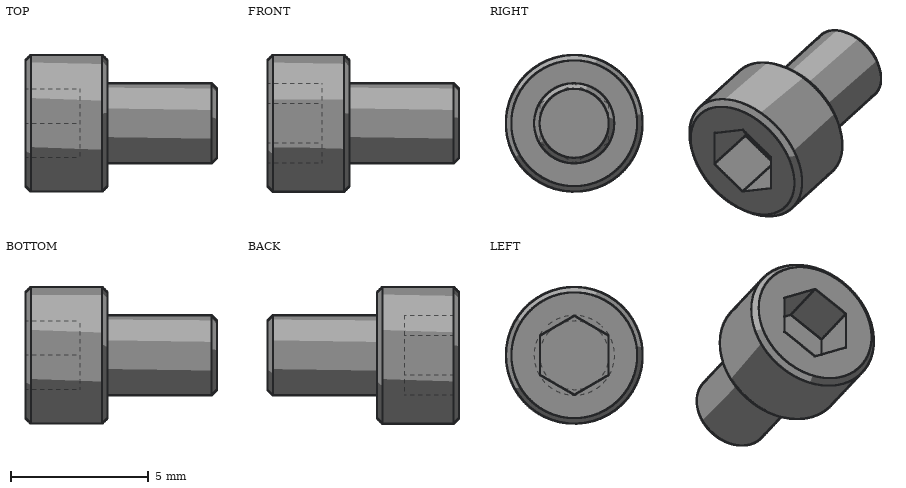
import cadquery as cq
import math

total_length = 7.0
head_diameter = 5.0
head_length = 3.0
shank_diameter = 2.925
edge_chamfer = 0.2
socket_across_flats = 2.5
socket_depth = 2.0
hexagon_sides = 6


def chamfered_cylinder(diameter, start, end, edges):
    """Cylinder along X with the selected end edges chamfered."""
    cylinder = cq.Workplane("YZ", origin=(start, 0, 0)).circle(diameter / 2).extrude(end - start)
    return cylinder.edges(edges).chamfer(edge_chamfer)


def hex_socket():
    """Hexagonal prism with corners pointing along Z and flats facing Y."""
    corner_diameter = socket_across_flats / math.cos(math.pi / hexagon_sides)
    return (
        cq.Workplane("YZ")
        .polygon(hexagon_sides, corner_diameter)
        .extrude(socket_depth)
        .rotate((0, 0, 0), (1, 0, 0), 180 / hexagon_sides)
    )


head = chamfered_cylinder(head_diameter, 0, head_length, "%CIRCLE")
shank = chamfered_cylinder(shank_diameter, socket_depth, total_length, ">X")

result = head.union(shank).cut(hex_socket())